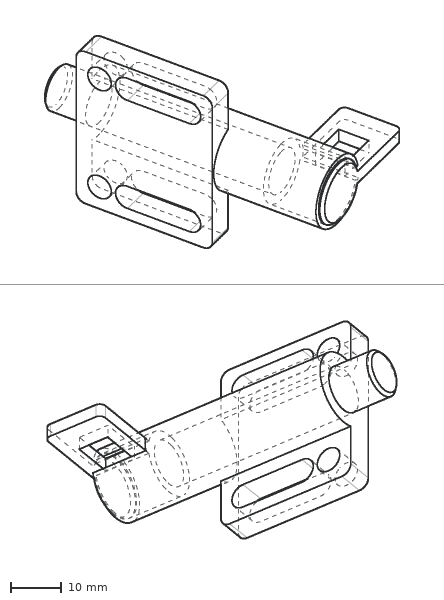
import cadquery as cq


plate_length = 32.0
plate_height = 38.0
plate_thickness = 6.0
plate_corner_radius = 2.2
axis_to_mount_face = 8.5
mount_face_y = -axis_to_mount_face

hole_diameter = 5.5
hole_edge_margin = 2.75
hole_to_slot_gap = 1.0
hole_edge_distance = hole_edge_margin + hole_diameter / 2
hole_z = plate_height / 2 - hole_edge_distance
slot_start_x = hole_edge_margin + hole_diameter + hole_to_slot_gap
slot_end_x = plate_length - hole_edge_margin
slot_length = slot_end_x - slot_start_x
slot_center_x = (slot_start_x + slot_end_x) / 2

tube_radius = 8.0
tube_length = 56.0

bolt_radius = 5.0
bolt_protrusion = 10.0
head_radius = 7.0
head_protrusion = 1.0
bolt_chamfer = 0.7
head_end_x = tube_length + head_protrusion

handle_width = 14.0
handle_thickness = 3.0
handle_reach = 23.0
handle_corner_radius = 1.4
window_width = 7.0
handle_rim = 7.0
handle_start_x = head_end_x - handle_width
handle_center_x = handle_start_x + handle_width / 2
window_outer_y = handle_reach - handle_rim
window_depth = window_outer_y - head_radius


def cylinder_along_x(start_x, end_x, radius):
    return cq.Workplane("YZ", origin=(start_x, 0, 0)).circle(radius).extrude(end_x - start_x)


def mount_face_at(x, z):
    return cq.Workplane("XZ", origin=(x, mount_face_y, z))


def handle_blank():
    """Solid tab from the bolt axis outwards, without its window or rounded corners."""
    return cq.Workplane("XY").box(
        handle_width, handle_reach, handle_thickness, centered=(True, False, True)
    ).translate((handle_center_x, 0, 0))


def make_plate():
    plate = (
        cq.Workplane("XY")
        .box(plate_length, plate_thickness, plate_height, centered=(False, False, True))
        .translate((0, mount_face_y, 0))
        .edges("|Y")
        .fillet(plate_corner_radius)
    )
    for z in (-hole_z, hole_z):
        hole = mount_face_at(hole_edge_distance, z).circle(hole_diameter / 2)
        slot = mount_face_at(slot_center_x, z).slot2D(slot_length, hole_diameter)
        plate = plate.cut(hole.extrude(-plate_thickness))
        plate = plate.cut(slot.extrude(-plate_thickness))
    return plate


def make_housing():
    """Plate and tube in one piece, with a stepped bore and a rear slot for the handle."""
    tube = cylinder_along_x(0, tube_length, tube_radius)
    bolt_bore = cylinder_along_x(0, tube_length, bolt_radius)
    head_bore = cylinder_along_x(handle_start_x, tube_length, head_radius)
    return make_plate().union(tube).cut(bolt_bore).cut(head_bore).cut(handle_blank())


def make_handle():
    window = cq.Workplane("XY").box(
        window_width, window_depth, handle_thickness, centered=(True, False, True)
    ).translate((handle_center_x, head_radius, 0))
    return handle_blank().edges("|Z and >Y").fillet(handle_corner_radius).cut(window)


def make_bolt():
    """Round bolt with a wider head at the rear; the handle is part of the head."""
    shank = cylinder_along_x(-bolt_protrusion, handle_start_x, bolt_radius)
    shank = shank.faces("<X").chamfer(bolt_chamfer)
    head = cylinder_along_x(handle_start_x, head_end_x, head_radius)
    head = head.faces(">X").chamfer(bolt_chamfer)
    return shank.union(head).union(make_handle())


housing = make_housing()
bolt = make_bolt()

result = cq.Compound.makeCompound([housing.val(), bolt.val()])